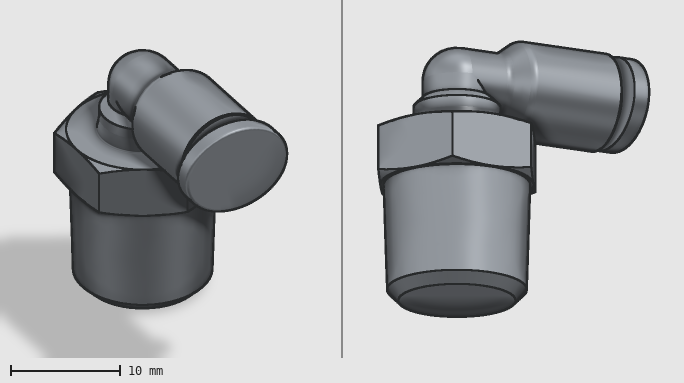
import cadquery as cq
import math

thread_top_radius = 6.7
thread_end_chamfer = 1.04
thread_length = 11.0
thread_taper = 1 / 16

hex_across_flats = 14.0
hex_height = 4.98
hex_corner_drop = 0.4

neck_foot_radius = 4.17
neck_foot_fillet = 0.25
neck_radius = 3.97
neck_cone_top = 17.33
neck_top = 18.4

total_height = 25.3
elbow_radius = 3.15
socket_radius = 4.53
elbow_arm_end = 3.6
flare_angle = math.radians(37.5)
flare_blend_radius = 1.05
socket_end = 14.65
socket_edge_chamfer = 0.1

stem_radius = 2.73
stem_root_flare = 0.1
ring_start = 15.48
ring_end = 17.1
ring_width = 10.75
ring_height = 8.5
ring_edge_fillet = 0.3

hex_top = thread_length + hex_height
hex_corner_radius = hex_across_flats / math.sqrt(3)
axis_height = total_height - socket_radius


def make_thread():
    """Tapered round shank with a 45 degree lead-in chamfer."""
    taper_length = thread_length - thread_end_chamfer
    small_radius = thread_top_radius - taper_length * thread_taper / 2
    profile = (
        cq.Workplane("XZ")
        .lineTo(small_radius - thread_end_chamfer, 0)
        .lineTo(small_radius, thread_end_chamfer)
        .lineTo(thread_top_radius, thread_length)
        .lineTo(0, thread_length)
        .close()
    )
    return profile.revolve(360, (0, 0), (0, 1))


def make_hexagon():
    """Hexagon with corners on the X axis, cone-chamfered at both ends."""
    prism = (
        cq.Workplane("XY", origin=(0, 0, thread_length))
        .polygon(6, 2 * hex_corner_radius)
        .extrude(hex_height)
    )
    chamfer_envelope = (
        cq.Workplane("XZ")
        .moveTo(0, thread_length)
        .lineTo(hex_across_flats / 2, thread_length)
        .lineTo(hex_corner_radius, thread_length + hex_corner_drop)
        .lineTo(hex_corner_radius, hex_top - hex_corner_drop)
        .lineTo(hex_across_flats / 2, hex_top)
        .lineTo(0, hex_top)
        .close()
        .revolve(360, (0, 0), (0, 1))
    )
    return prism.intersect(chamfer_envelope)


def make_neck():
    """Upright neck that steps down to the elbow and ends at the elbow centre."""
    shoulder_top = neck_top + neck_radius - elbow_radius
    fillet_middle = neck_foot_fillet * (1 - math.sqrt(0.5))
    profile = (
        cq.Workplane("XZ")
        .moveTo(0, hex_top)
        .lineTo(neck_foot_radius + neck_foot_fillet, hex_top)
        .threePointArc(
            (neck_foot_radius + fillet_middle, hex_top + fillet_middle),
            (neck_foot_radius, hex_top + neck_foot_fillet),
        )
        .lineTo(neck_radius, neck_cone_top)
        .lineTo(neck_radius, neck_top)
        .lineTo(elbow_radius, shoulder_top)
        .lineTo(elbow_radius, axis_height)
        .lineTo(0, axis_height)
        .close()
    )
    return profile.revolve(360, (0, 0), (0, 1))


def make_elbow_and_socket():
    """Ball corner, plain arm, S-shaped flare, socket and stem, turned about the arm axis."""

    def blend_point(angle):
        """Axial and radial travel along a flare blend turned through angle."""
        axial = flare_blend_radius * math.sin(angle)
        radial = flare_blend_radius * (1 - math.cos(angle))
        return axial, radial

    middle_axial, middle_radial = blend_point(flare_angle / 2)
    blend_axial, blend_radial = blend_point(flare_angle)
    cone_rise = socket_radius - elbow_radius - 2 * blend_radial
    flare_end = elbow_arm_end + 2 * blend_axial + cone_rise / math.tan(flare_angle)
    ball_middle = elbow_radius * math.sqrt(0.5)

    profile = (
        cq.Workplane("XZ", origin=(0, 0, axis_height))
        .moveTo(-elbow_radius, 0)
        .threePointArc((-ball_middle, ball_middle), (0, elbow_radius))
        .lineTo(elbow_arm_end, elbow_radius)
        .threePointArc(
            (elbow_arm_end + middle_axial, elbow_radius + middle_radial),
            (elbow_arm_end + blend_axial, elbow_radius + blend_radial),
        )
        .lineTo(flare_end - blend_axial, socket_radius - blend_radial)
        .threePointArc(
            (flare_end - middle_axial, socket_radius - middle_radial),
            (flare_end, socket_radius),
        )
        .lineTo(socket_end - socket_edge_chamfer, socket_radius)
        .lineTo(socket_end, socket_radius - socket_edge_chamfer)
        .lineTo(socket_end, stem_radius)
        .lineTo(ring_start - stem_root_flare, stem_radius)
        .lineTo(ring_start, stem_radius + stem_root_flare)
        .lineTo(ring_start, 0)
        .close()
    )
    return profile.revolve(360, (0, 0), (1, 0))


def make_release_ring():
    """Elliptical disc, wider in Y than in Z, with a rounded outer edge."""
    return (
        cq.Workplane("YZ", origin=(ring_start, 0, axis_height))
        .ellipse(ring_width / 2, ring_height / 2)
        .extrude(ring_end - ring_start)
        .faces(">X")
        .edges()
        .fillet(ring_edge_fillet)
    )


result = (
    make_thread()
    .union(make_hexagon())
    .union(make_neck())
    .union(make_elbow_and_socket())
    .union(make_release_ring())
)